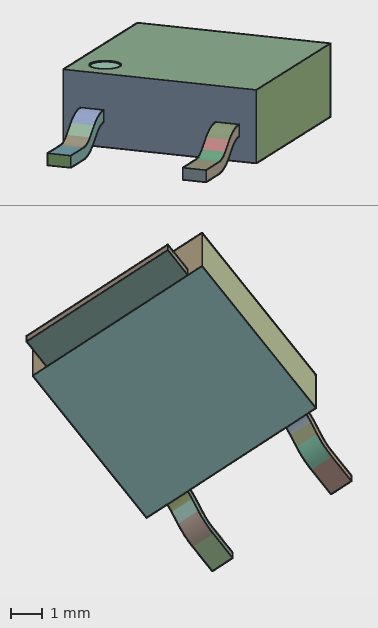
import cadquery as cq
import math

housing_width = 6.54
housing_height = 2.39
total_length = 9.9

mark_diameter = 1.0
mark_inset = 1.01
mark_depth = 0.04

metal_thickness = 0.4

tab_width = 5.45
tab_length = 1.08

lead_width = 0.79
lead_spacing = 4.58
lead_length = 2.71
lead_exit_top = 1.21
bend_angle = math.radians(42)
bend_inner_radius = 0.79

housing_length = total_length - tab_length - lead_length


def make_housing():
    """Plain block with the orientation mark recessed in its top face."""
    block = cq.Workplane("XY").box(
        housing_width, housing_length, housing_height, centered=(True, False, False)
    )
    mark = (
        cq.Workplane("XY", origin=(0, 0, housing_height - mark_depth))
        .center(mark_inset - housing_width / 2, mark_inset)
        .circle(mark_diameter / 2)
        .extrude(mark_depth)
    )
    return block.cut(mark)


def make_tab():
    """Flat plate against the rear face, flush with the underside."""
    return cq.Workplane("XY", origin=(0, housing_length, 0)).box(
        tab_width, tab_length, metal_thickness, centered=(True, False, False)
    )


def arc_point(center, radius, angle):
    """Point on a bend; the angle is measured from +Z towards -Y."""
    return (
        center[0] - radius * math.sin(angle),
        center[1] + radius * math.cos(angle),
    )


def make_lead(x_center):
    """S-shaped strip that leaves the front face level and ends in a flat foot."""
    inner = bend_inner_radius
    outer = inner + metal_thickness

    drop = lead_exit_top - metal_thickness
    slope_drop = drop - (inner + outer) * (1 - math.cos(bend_angle))
    slope_run = slope_drop / math.tan(bend_angle)
    bend_run = (inner + outer) * math.sin(bend_angle) + slope_run

    upper_center = (0, lead_exit_top - outer)
    lower_center = (-bend_run, outer)
    lower_start = math.pi + bend_angle
    lower_middle = math.pi + bend_angle / 2

    profile = (
        cq.Workplane("YZ", origin=(x_center - lead_width / 2, 0, 0))
        .moveTo(0, lead_exit_top)
        .threePointArc(
            arc_point(upper_center, outer, bend_angle / 2),
            arc_point(upper_center, outer, bend_angle),
        )
        .lineTo(*arc_point(lower_center, inner, lower_start))
        .threePointArc(
            arc_point(lower_center, inner, lower_middle),
            arc_point(lower_center, inner, math.pi),
        )
        .lineTo(-lead_length, metal_thickness)
        .lineTo(-lead_length, 0)
        .lineTo(-bend_run, 0)
        .threePointArc(
            arc_point(lower_center, outer, lower_middle),
            arc_point(lower_center, outer, lower_start),
        )
        .lineTo(*arc_point(upper_center, inner, bend_angle))
        .threePointArc(
            arc_point(upper_center, inner, bend_angle / 2),
            arc_point(upper_center, inner, 0),
        )
        .close()
    )
    return profile.extrude(lead_width)


housing = make_housing()
tab = make_tab()
leads = [make_lead(side * lead_spacing / 2) for side in (-1, 1)]

result = cq.Compound.makeCompound(
    [housing.val(), tab.val(), *[lead.val() for lead in leads]]
)